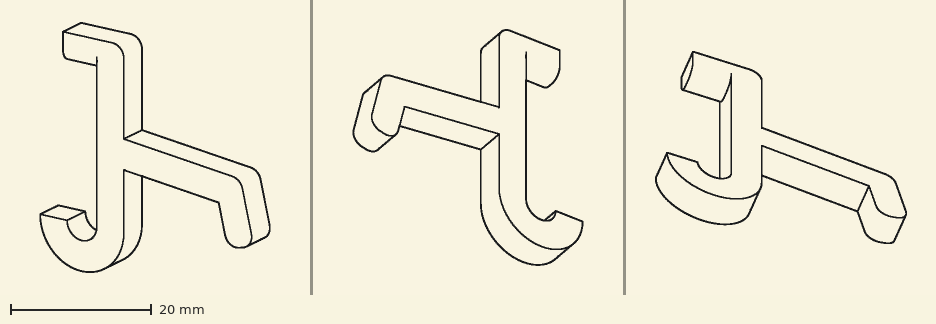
import cadquery as cq
import math

bar = 4.65
total_length = 36.28
hook_outer = 7.2
hook_inner = hook_outer - bar
top_z = 28.23
lip_left = -3.25
edge_radius = 1.95
arm_root_z = 14.15
arm_slope = math.radians(6)
tip_lean = math.radians(13.3)
tip_length = 6.75


def arm_top(x):
    """Height of the arm's sloping top face at x."""
    return arm_root_z - (x - hook_outer) * math.tan(arm_slope)


def arm_bottom(x):
    """Height of the arm's sloping lower face at x."""
    return arm_top(x) - bar / math.cos(arm_slope)


def extrude_profile(profile):
    """Extrude an XZ profile symmetrically about Y = 0."""
    return profile.close().extrude(bar / 2, both=True)


spine = extrude_profile(
    cq.Workplane("XZ")
    .moveTo(hook_inner, top_z)
    .lineTo(hook_outer, top_z)
    .lineTo(hook_outer, 0)
    .threePointArc((0, -hook_outer), (-hook_outer, 0))
    .lineTo(-hook_inner, 0)
    .threePointArc((0, -hook_inner), (hook_inner, 0))
).edges("|Y and >Z and >X").fillet(edge_radius)

lip = (
    cq.Workplane("XY")
    .box(hook_inner - lip_left, bar, bar, centered=(False, True, False))
    .translate((lip_left, 0, top_z - bar))
    .edges("|X and <Z")
    .fillet(edge_radius)
)

along_x, along_z = math.sin(tip_lean), -math.cos(tip_lean)
across_x, across_z = math.cos(tip_lean), math.sin(tip_lean)
round_centre_x = total_length - hook_outer - edge_radius
elbow_x = (
    round_centre_x
    - (tip_length - edge_radius) * along_x
    - (bar - edge_radius) * across_x
)
elbow_z = arm_bottom(elbow_x)
tip_inner = (elbow_x + tip_length * along_x, elbow_z + tip_length * along_z)
tip_outer = (tip_inner[0] + bar * across_x, tip_inner[1] + bar * across_z)
corner_rise = (arm_top(tip_outer[0]) - tip_outer[1]) / (
    math.cos(tip_lean) - math.sin(tip_lean) * math.tan(arm_slope)
)
tip_corner = (tip_outer[0] - corner_rise * along_x, tip_outer[1] - corner_rise * along_z)
root_x = (hook_inner + hook_outer) / 2

arm = extrude_profile(
    cq.Workplane("XZ")
    .moveTo(root_x, arm_top(root_x))
    .lineTo(*tip_corner)
    .lineTo(*tip_outer)
    .lineTo(*tip_inner)
    .lineTo(elbow_x, elbow_z)
    .lineTo(root_x, arm_bottom(root_x))
)
for corner_x, corner_z in (tip_corner, tip_outer, tip_inner):
    arm = arm.edges(cq.NearestToPointSelector((corner_x, 0, corner_z))).fillet(edge_radius)

result = spine.union(lip).union(arm)